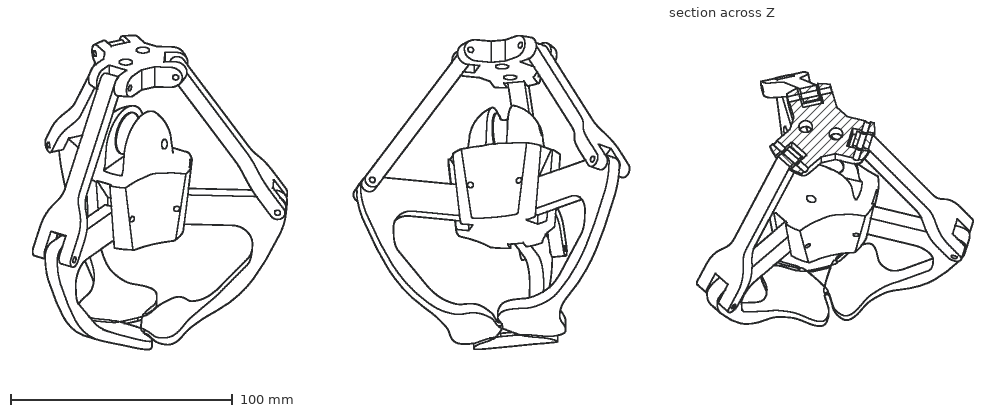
import cadquery as cq
import math

ARM_COUNT = 3
FIRST_ARM_ANGLE = -90.0
ARM_STEP = 360.0 / ARM_COUNT

PIN_HOLE_DIAMETER = 2.6
PLATE_JOINT = (19.2, 131.16)
FINGER_JOINT = (65.1, 63.9)
HOUSING_JOINT = (19.8, 65.4)

PLATE_TOP = 136.3
PLATE_THICKNESS = 2 * (PLATE_TOP - PLATE_JOINT[1])
PLATE_RADIUS = 24.4
PLATE_EDGE_ROUND = 5.0
PLATE_ARM_WIDTH = 20.3
PLATE_WEB_DISTANCE = 13.6
PLATE_SLOT_WIDTH = 9.4
PLATE_SLOT_START = 13.6
PLATE_HOLE_DIAMETER = 5.9
PLATE_HOLE_OFFSET = 7.1

LINK_THICKNESS = 6.8
LINK_END_RADIUS = LINK_THICKNESS / 2
LINK_STEM_WIDTH = 7.8
LINK_FORK_WIDTH = PLATE_ARM_WIDTH
LINK_FLARE_START = 51.5
LINK_FLARE_MIDDLE = (61.3, 7.6)
LINK_FLARE_END = 71.8
FORK_SLOT_WIDTH = 8.0
FORK_SLOT_START = 72.2
LINK_RUN = FINGER_JOINT[0] - PLATE_JOINT[0]
LINK_DROP = PLATE_JOINT[1] - FINGER_JOINT[1]
LINK_LENGTH = math.hypot(LINK_RUN, LINK_DROP)
LINK_SLOPE = math.degrees(math.atan2(LINK_DROP, LINK_RUN))

FINGER_WIDTH = 6.5
FINGER_HEEL_DIAMETER = 5.9
FINGER_HEEL_RADIUS = FINGER_HEEL_DIAMETER / 2
FINGER_HEEL = HOUSING_JOINT[0] - FINGER_HEEL_RADIUS
FINGER_TOP = HOUSING_JOINT[1] + FINGER_HEEL_RADIUS
FINGER_UNDERSIDE = 53.4
FINGER_REACH = 68.8
FINGER_KNUCKLE_RADIUS = 5.0
FINGER_TIP_THICKNESS = 1.6
FINGER_BACK_CURVE = [(63.2, 43.7), (54.2, 27.1), (40.9, 12.5), (21.8, 2.0)]
FINGER_HOLLOW_REACH = 53.4
FINGER_HOLLOW_ROUND = 9.1
FINGER_HOLLOW_CURVE = [(48.9, 31.2), (38.4, 18.8), (27.8, 10.0), (14.0, 3.5)]

PAD_START = 37.0
PAD_TIP = 3.1
PAD_CEILING = FINGER_UNDERSIDE / 2
PAD_SIDE_CURVE = [
    (31.3, 4.4), (28.1, 6.4), (25.2, 9.0), (20.6, 17.3),
    (17.7, 19.5), (13.2, 18.1), (10.5, 15.8), (5.7, 8.5),
]

HOUSING_BOTTOM = 49.3
HOUSING_BOTTOM_RADIUS = 22.6
HOUSING_BOTTOM_ROUND = 1.0
HOUSING_RIM_RADIUS = 26.2
HOUSING_RIM_HEIGHT = 82.7
HOUSING_SIDE_DISTANCE = 18.4
HOUSING_SIDE_RADIUS = 42.2
SHOULDER_RADIUS = 20.6
SHOULDER_HEIGHT = 84.1
NECK_CURVE = [(18.4, 85.0), (17.5, 87.2)]
DOME_RADIUS = 16.8
DOME_CENTRE_HEIGHT = 92.4

HEEL_SLOT_WIDTH = 7.4
HEEL_SLOT_DEPTH_RADIUS = 16.5
HEEL_SLOT_SLOPE_START = 71.0
HEEL_SLOT_SLOPE_END = (25.1, 82.9)
PULLEY_SLOT_WIDTH = 9.7
PULLEY_SLOT_FLOOR = 84.8

PULLEY_DIAMETER = 19.4
PULLEY_WIDTH = 7.9
PULLEY_AXLE_DIAMETER = 4.2
PULLEY_HEIGHT = 96.2
PULLEY_GROOVE_RADIUS = 3.4

CUT_LENGTH = 81.8

HALF_ARC = math.sqrt(0.5)


def arm_angles():
    return [FIRST_ARM_ANGLE + ARM_STEP * index for index in range(ARM_COUNT)]


def turned(body, angle):
    return body.rotate((0, 0, 0), (0, 0, 1), angle)


def mid_plane(plane, thickness):
    """Workplane set back so that an extrusion by `thickness` is centred on the named plane."""
    return cq.Workplane(plane).workplane(offset=-thickness / 2)


def hinge_cutter(joint):
    """Cylinder along Y at a (radius, height) joint of the arm on +X."""
    return (
        mid_plane("XZ", CUT_LENGTH)
        .center(*joint)
        .circle(PIN_HOLE_DIAMETER / 2)
        .extrude(CUT_LENGTH)
    )


def box_from(x_start, width, z_start):
    """Box centred across Y that runs outward and upward from its lower inner edge."""
    box = cq.Workplane("XY").box(CUT_LENGTH, width, CUT_LENGTH, centered=(False, True, False))
    return box.translate((x_start, 0, z_start))


def make_plate():
    bottom = PLATE_TOP - PLATE_THICKNESS
    level = cq.Workplane("XY").workplane(offset=bottom)
    plate = level.polygon(3, 4 * PLATE_WEB_DISTANCE).extrude(PLATE_THICKNESS)
    plate = turned(plate, FIRST_ARM_ANGLE)
    arm = level.rect(CUT_LENGTH, PLATE_ARM_WIDTH).extrude(PLATE_THICKNESS)
    arm = arm.intersect(box_from(0, PLATE_ARM_WIDTH, bottom))
    for angle in arm_angles():
        plate = plate.union(turned(arm, angle))

    disc = level.circle(PLATE_RADIUS).extrude(PLATE_THICKNESS).edges().fillet(PLATE_EDGE_ROUND)
    plate = plate.intersect(disc)

    slot = box_from(PLATE_SLOT_START, PLATE_SLOT_WIDTH, bottom)
    for angle in arm_angles():
        plate = plate.cut(turned(slot, angle)).cut(turned(hinge_cutter(PLATE_JOINT), angle))

    holes = (
        level.pushPoints([(0, -PLATE_HOLE_OFFSET), (0, PLATE_HOLE_OFFSET)])
        .circle(PLATE_HOLE_DIAMETER / 2)
        .extrude(PLATE_THICKNESS)
    )
    return plate.cut(holes)


def make_link():
    """Flat bar with a forked end, laid along +X from its plate joint, then sloped into place."""
    stem = LINK_STEM_WIDTH / 2
    fork = LINK_FORK_WIDTH / 2
    end = LINK_LENGTH + LINK_END_RADIUS
    half_plan = (
        mid_plane("XY", LINK_THICKNESS)
        .moveTo(-LINK_END_RADIUS, 0)
        .lineTo(-LINK_END_RADIUS, stem)
        .lineTo(LINK_FLARE_START, stem)
        .spline(
            [LINK_FLARE_MIDDLE, (LINK_FLARE_END, fork)],
            tangents=[(1, 0), (1, 0)],
            includeCurrent=True,
        )
        .lineTo(end, fork)
        .lineTo(end, 0)
        .close()
        .extrude(LINK_THICKNESS)
    )
    plan = half_plan.union(half_plan.mirror("XZ"))
    side = (
        mid_plane("XZ", LINK_FORK_WIDTH)
        .center(LINK_LENGTH / 2, 0)
        .slot2D(LINK_LENGTH + LINK_THICKNESS, LINK_THICKNESS)
        .extrude(LINK_FORK_WIDTH)
    )
    link = plan.intersect(side)
    link = link.cut(box_from(FORK_SLOT_START, FORK_SLOT_WIDTH, -LINK_THICKNESS))
    link = link.cut(hinge_cutter((0, 0))).cut(hinge_cutter((LINK_LENGTH, 0)))
    link = link.rotate((0, 0, 0), (0, 1, 0), LINK_SLOPE)
    return link.translate((PLATE_JOINT[0], 0, PLATE_JOINT[1]))


def finger_slab(width):
    """Finger side shape of a given width: heel, straight beam, knuckle, curved back and hollow."""
    heel_middle = FINGER_HEEL_RADIUS * HALF_ARC
    knuckle_centre = (FINGER_REACH - FINGER_KNUCKLE_RADIUS, FINGER_TOP - FINGER_KNUCKLE_RADIUS)
    knuckle_middle = FINGER_KNUCKLE_RADIUS * HALF_ARC
    hollow_centre = (FINGER_HOLLOW_REACH - FINGER_HOLLOW_ROUND, FINGER_UNDERSIDE - FINGER_HOLLOW_ROUND)
    hollow_middle = FINGER_HOLLOW_ROUND * HALF_ARC
    return (
        mid_plane("XZ", width)
        .moveTo(FINGER_HEEL, FINGER_UNDERSIDE)
        .lineTo(FINGER_HEEL, HOUSING_JOINT[1])
        .threePointArc(
            (HOUSING_JOINT[0] - heel_middle, HOUSING_JOINT[1] + heel_middle),
            (HOUSING_JOINT[0], FINGER_TOP),
        )
        .lineTo(knuckle_centre[0], FINGER_TOP)
        .threePointArc(
            (knuckle_centre[0] + knuckle_middle, knuckle_centre[1] + knuckle_middle),
            (FINGER_REACH, knuckle_centre[1]),
        )
        .spline(
            FINGER_BACK_CURVE + [(PAD_TIP, 0)],
            tangents=[(0, -1), (-1, 0)],
            includeCurrent=True,
        )
        .lineTo(PAD_TIP, FINGER_TIP_THICKNESS)
        .spline(
            FINGER_HOLLOW_CURVE[::-1] + [(FINGER_HOLLOW_REACH, hollow_centre[1])],
            tangents=[(1, 0), (0, 1)],
            includeCurrent=True,
        )
        .threePointArc(
            (hollow_centre[0] + hollow_middle, hollow_centre[1] + hollow_middle),
            (hollow_centre[0], FINGER_UNDERSIDE),
        )
        .close()
        .extrude(width)
    )


def make_finger():
    """Side shape trimmed in plan to a narrow shank that flares into a broad pad below the beam."""
    half_pad = (
        cq.Workplane("XY")
        .moveTo(PAD_START, 0)
        .lineTo(PAD_START, FINGER_WIDTH / 2)
        .spline(PAD_SIDE_CURVE + [(PAD_TIP, 0)], tangents=[(-1, 0), (0, -1)], includeCurrent=True)
        .close()
        .extrude(PAD_CEILING)
    )
    pad_plan = half_pad.union(half_pad.mirror("XZ"))
    shank = box_from(0, FINGER_WIDTH, 0)
    finger = finger_slab(CUT_LENGTH).intersect(shank.union(pad_plan))
    return finger.cut(hinge_cutter(HOUSING_JOINT)).cut(hinge_cutter(FINGER_JOINT))


def housing_blank():
    """Turned shape of the housing: tapered drum, conical shoulder, flared neck and dome."""
    dome_middle = DOME_RADIUS * HALF_ARC
    return (
        cq.Workplane("XZ")
        .moveTo(0, HOUSING_BOTTOM)
        .lineTo(HOUSING_BOTTOM_RADIUS - HOUSING_BOTTOM_ROUND, HOUSING_BOTTOM)
        .tangentArcPoint((HOUSING_BOTTOM_RADIUS, HOUSING_BOTTOM + HOUSING_BOTTOM_ROUND), relative=False)
        .lineTo(HOUSING_RIM_RADIUS, HOUSING_RIM_HEIGHT)
        .lineTo(SHOULDER_RADIUS, SHOULDER_HEIGHT)
        .spline(NECK_CURVE + [(DOME_RADIUS, DOME_CENTRE_HEIGHT)], includeCurrent=True)
        .threePointArc(
            (dome_middle, DOME_CENTRE_HEIGHT + dome_middle),
            (0, DOME_CENTRE_HEIGHT + DOME_RADIUS),
        )
        .close()
        .revolve(360, (0, 0, 0), (0, 1, 0))
    )


def heel_slot():
    """Slot for a finger heel, open at the bottom, with a back wall that leans outward at the top."""
    return (
        mid_plane("XZ", HEEL_SLOT_WIDTH)
        .moveTo(HEEL_SLOT_DEPTH_RADIUS, HOUSING_BOTTOM)
        .lineTo(HEEL_SLOT_DEPTH_RADIUS, HEEL_SLOT_SLOPE_START)
        .lineTo(*HEEL_SLOT_SLOPE_END)
        .lineTo(HEEL_SLOT_SLOPE_END[0], SHOULDER_HEIGHT)
        .lineTo(CUT_LENGTH, SHOULDER_HEIGHT)
        .lineTo(CUT_LENGTH, HOUSING_BOTTOM)
        .close()
        .extrude(HEEL_SLOT_WIDTH)
    )


def pulley_axle_cutter():
    return (
        mid_plane("YZ", CUT_LENGTH)
        .center(0, PULLEY_HEIGHT)
        .circle(PULLEY_AXLE_DIAMETER / 2)
        .extrude(CUT_LENGTH)
    )


def make_housing():
    housing = housing_blank()

    side = (
        cq.Workplane("XY")
        .center(HOUSING_SIDE_DISTANCE + HOUSING_SIDE_RADIUS, 0)
        .circle(HOUSING_SIDE_RADIUS)
        .extrude(PLATE_TOP)
    )
    for angle in arm_angles():
        housing = housing.cut(turned(side, angle + ARM_STEP / 2))
        housing = housing.cut(turned(heel_slot(), angle))
        housing = housing.cut(turned(hinge_cutter(HOUSING_JOINT), angle))

    slot = turned(box_from(-CUT_LENGTH / 2, PULLEY_SLOT_WIDTH, PULLEY_SLOT_FLOOR), FIRST_ARM_ANGLE)
    return housing.cut(slot).cut(pulley_axle_cutter())


def make_pulley():
    disc = (
        mid_plane("YZ", PULLEY_WIDTH)
        .center(0, PULLEY_HEIGHT)
        .circle(PULLEY_DIAMETER / 2)
        .extrude(PULLEY_WIDTH)
    )
    groove = cq.Workplane("XY").add(
        cq.Solid.makeTorus(
            PULLEY_DIAMETER / 2,
            PULLEY_GROOVE_RADIUS,
            cq.Vector(0, 0, PULLEY_HEIGHT),
            cq.Vector(1, 0, 0),
        )
    )
    return disc.cut(groove).cut(pulley_axle_cutter())


plate = make_plate()
housing = make_housing()
pulley = make_pulley()
links = [turned(make_link(), angle) for angle in arm_angles()]
fingers = [turned(make_finger(), angle) for angle in arm_angles()]

result = cq.Compound.makeCompound(
    [
        plate.val(),
        housing.val(),
        pulley.val(),
        *[link.val() for link in links],
        *[finger.val() for finger in fingers],
    ]
)